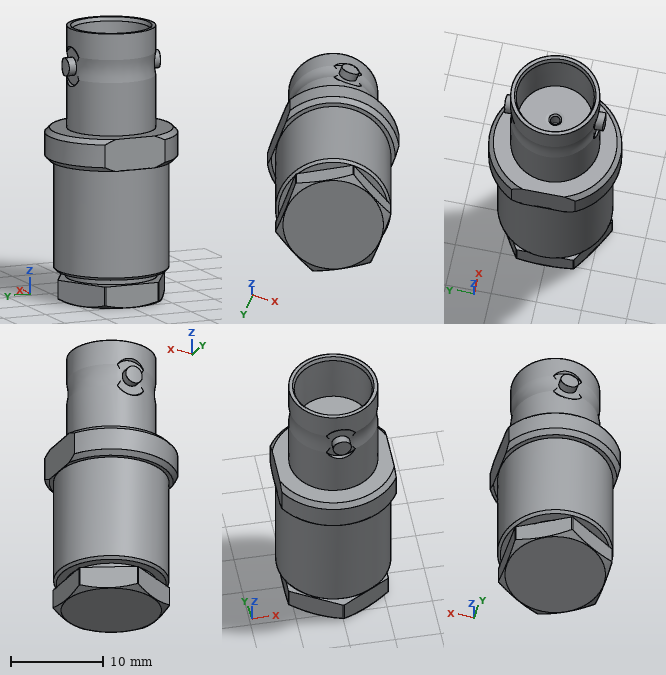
import cadquery as cq
import math

total_height = 30.2
nut_height = 2.55
sleeve_bottom = 3.23
flange_bottom = 15.4
flange_top = 18.95

nut_across_flats = 11.0
nut_corner_radius = 6.3
nut_bottom_radius = 5.45
nut_chamfer_height = 0.45

relief_radius = 4.98
sleeve_radius = 6.25
sleeve_chamfer = 0.3
flange_radius = 7.22
flange_chamfer = 0.5
flange_across_flats = 12.6
socket_radius = 4.83

pin_height = 26.03
groove_width = 2.55
groove_depth = 0.15

pin_radius = 1.0
pin_tip_radius = 5.5
spot_face_offset = 4.55
spot_face_floor_radius = 2.02
spot_face_rim_radius = 2.2

bore_depth = 5.8
bore_mouth_radius = 4.4
bore_top_radius = 4.23
bore_floor_radius = 4.08
mouth_taper_depth = 0.42

contact_dish_radius = 1.03
contact_dish_depth = 0.05
contact_countersink_radius = 0.7
contact_hole_radius = 0.5
contact_hole_depth = 1.8


def cylinder(radius, bottom, top):
    return cq.Workplane("XY").workplane(offset=bottom).circle(radius).extrude(top - bottom)


def turned(points):
    """Revolve a closed (radius, height) outline about the Z axis."""
    return cq.Workplane("XZ").polyline(points).close().revolve(360, (0, 0, 0), (0, 1, 0))


def clamp_nut():
    across_corners = nut_across_flats / math.cos(math.pi / 6)
    prism = (
        cq.Workplane("XY")
        .transformed(rotate=(0, 0, 90))
        .polygon(6, across_corners)
        .extrude(nut_height)
    )
    envelope = turned([
        (0, 0),
        (nut_bottom_radius, 0),
        (nut_corner_radius, nut_chamfer_height),
        (nut_corner_radius, nut_height),
        (0, nut_height),
    ])
    return prism.intersect(envelope)


def sleeve():
    return cylinder(sleeve_radius, sleeve_bottom, flange_bottom).faces("<Z").chamfer(sleeve_chamfer)


def flange():
    disc = cylinder(flange_radius, flange_bottom, flange_top).faces("<Z or >Z").chamfer(flange_chamfer)
    flats = cq.Workplane("XY").box(flange_across_flats, 2 * flange_radius, 2 * total_height)
    return disc.intersect(flats)


def socket():
    """Socket tube, still solid, with its shallow arc-shaped groove."""
    half_width = groove_width / 2
    return (
        cq.Workplane("XZ")
        .moveTo(0, flange_top)
        .lineTo(socket_radius, flange_top)
        .lineTo(socket_radius, pin_height - half_width)
        .threePointArc(
            (socket_radius - groove_depth, pin_height),
            (socket_radius, pin_height + half_width),
        )
        .lineTo(socket_radius, total_height)
        .lineTo(0, total_height)
        .close()
        .revolve(360, (0, 0, 0), (0, 1, 0))
    )


def spot_face(side):
    """Flat-bottomed tapered cutter on the +Y (side=1) or -Y (side=-1) face."""
    depth = socket_radius - spot_face_offset
    return cq.Workplane(cq.Solid.makeCone(
        spot_face_floor_radius,
        spot_face_rim_radius,
        depth,
        cq.Vector(0, side * spot_face_offset, pin_height),
        cq.Vector(0, side, 0),
    ))


def bayonet_pins():
    """One cross rod, its ends rounded to a cylinder about the Z axis."""
    rod = (
        cq.Workplane("XZ")
        .center(0, pin_height)
        .circle(pin_radius)
        .extrude(pin_tip_radius, both=True)
    )
    return rod.intersect(cylinder(pin_tip_radius, 0, total_height))


def bore():
    floor = total_height - bore_depth
    return turned([
        (0, floor),
        (bore_floor_radius, floor),
        (bore_top_radius, total_height - mouth_taper_depth),
        (bore_mouth_radius, total_height),
        (0, total_height),
    ])


def contact_recess():
    """Shallow dish, countersink and blind hole at the middle of the bore floor."""
    floor = total_height - bore_depth
    dish_bottom = floor - contact_dish_depth
    countersink_bottom = dish_bottom - (contact_countersink_radius - contact_hole_radius)
    hole_bottom = floor - contact_hole_depth
    return turned([
        (0, hole_bottom),
        (contact_hole_radius, hole_bottom),
        (contact_hole_radius, countersink_bottom),
        (contact_countersink_radius, dish_bottom),
        (contact_dish_radius, floor),
        (0, floor),
    ])


result = clamp_nut()
result = result.union(cylinder(relief_radius, nut_height, sleeve_bottom))
result = result.union(sleeve()).union(flange()).union(socket())
for side in (1, -1):
    result = result.cut(spot_face(side))
result = result.union(bayonet_pins())
result = result.cut(bore()).cut(contact_recess())